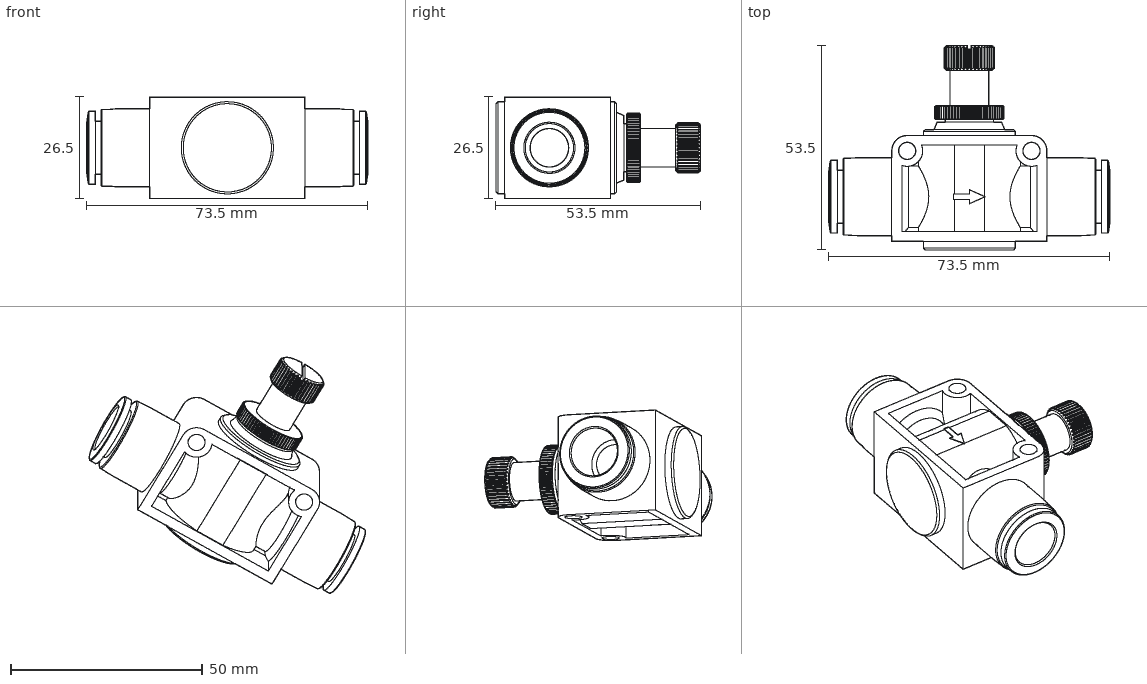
import cadquery as cq
import math


BODY_LENGTH = 40.6
BODY_HEIGHT = 26.5
BODY_FRONT = -11.7
BODY_BACK = 16.0
BODY_CORNER_RADIUS = 4.05
WALL = 2.65
BACK_WALL = 2.5
MOUNT_HOLE_RADIUS = 2.2
MOUNT_X = BODY_LENGTH / 2 - BODY_CORNER_RADIUS
MOUNT_Y = BODY_BACK - BODY_CORNER_RADIUS

WEB_THICKNESS = 2.65
POCKET_LENGTH = BODY_LENGTH - 2 * WALL
POCKET_FRONT = BODY_FRONT + WALL
POCKET_BACK = BODY_BACK - BACK_WALL
CORE_RADIUS = 13.4
CORE_FLAT_HEIGHT = 12.8
DUCT_RADIUS = 8.15
DUCT_FLARE_RADIUS = 10.2
DUCT_FLARE_LENGTH = 1.7

ARROW_TAIL_LENGTH = 4.2
ARROW_TAIL_WIDTH = 1.5
ARROW_HEAD_LENGTH = 4.1
ARROW_HEAD_WIDTH = 3.7
ARROW_RELIEF = 0.15

PORT_END = 36.75
BARREL_RADIUS = 10.2
BARREL_TIP_RADIUS = 10.1
BARREL_TAPER_START = 29.2
BARREL_TAPER_END = 31.9
BARREL_END = 33.1
BARREL_CHAMFER = 0.3
NECK_RADIUS = 7.0
FLANGE_START = 34.5
FLANGE_RADIUS = 9.55
FLANGE_RIM_RADIUS = 9.25
FLANGE_MOUTH_RADIUS = 6.7
FLANGE_EDGE = 36.15
FLANGE_RIM = 36.4
TUBE_SOCKET_RADIUS = 6.3
TUBE_SOCKET_DEPTH = 18.4
BORE_RADIUS = 5.0

CAP_RADIUS = 12.05
CAP_EDGE = 0.5
CAP_FRONT = -14.0
BONNET_TOP = 17.6
CONE_BASE_RADIUS = 9.25
CONE_TOP_RADIUS = 8.45
CONE_TOP = 19.5
SPINDLE_COLLAR_RADIUS = 6.3

NUT_START = 20.15
NUT_END = 23.8
NUT_RADIUS = 9.05
NUT_TEETH = 60
NUT_CHAMFER = 0.3
SPINDLE_RADIUS = 5.1
KNOB_START = 33.0
KNOB_END = 39.55
KNOB_RADIUS = 6.6
KNOB_TEETH = 40
KNOB_CHAMFER = 0.65
KNURL_DEPTH = 0.4
KNURL_LAND = 0.25
SLOT_WIDTH = 0.95
SLOT_DEPTH = 0.9


def cylinder_y(radius, start, end):
    """Cylinder on the Y axis between two Y positions."""
    return cq.Workplane("XZ", origin=(0, start, 0)).circle(radius).extrude(start - end)


def revolve_x(profile):
    """Solid of revolution about the X axis from (x, radius) points."""
    return cq.Workplane("XY").polyline(profile).close().revolve(360, (0, 0, 0), (1, 0, 0))


def body_block():
    depth = BODY_BACK - BODY_FRONT
    center_y = (BODY_BACK + BODY_FRONT) / 2
    return (
        cq.Workplane("XY")
        .center(0, center_y)
        .box(BODY_LENGTH, depth, BODY_HEIGHT)
        .edges("|Z and >Y")
        .fillet(BODY_CORNER_RADIUS)
    )


def mount_cylinders(radius):
    return (
        cq.Workplane("XY", origin=(0, 0, -BODY_HEIGHT / 2))
        .pushPoints([(-MOUNT_X, MOUNT_Y), (MOUNT_X, MOUNT_Y)])
        .circle(radius)
        .extrude(BODY_HEIGHT)
    )


def core():
    """Valve barrel inside the body, flattened above and below."""
    barrel = cylinder_y(CORE_RADIUS, POCKET_FRONT, POCKET_BACK)
    flats = cq.Workplane("XY").box(BODY_LENGTH, 2 * BODY_BACK, 2 * CORE_FLAT_HEIGHT)
    return barrel.intersect(flats)


def ducts():
    """Passages from the core to the end walls, flared where they meet the walls."""
    wall_x = POCKET_LENGTH / 2
    profile = [
        (0, 0),
        (0, DUCT_RADIUS),
        (wall_x - DUCT_FLARE_LENGTH, DUCT_RADIUS),
        (wall_x, DUCT_FLARE_RADIUS),
        (wall_x, 0),
    ]
    duct = revolve_x(profile)
    return duct.union(duct.mirror("YZ"))


def pockets():
    """Space removed from the body above and below the web."""
    depth = POCKET_BACK - POCKET_FRONT
    center_y = (POCKET_BACK + POCKET_FRONT) / 2
    cavity = cq.Workplane("XY").center(0, center_y).box(POCKET_LENGTH, depth, BODY_HEIGHT)
    web = cq.Workplane("XY").center(0, center_y).box(POCKET_LENGTH, depth, WEB_THICKNESS)
    bosses = mount_cylinders(BODY_CORNER_RADIUS)
    return cavity.cut(web).cut(bosses).cut(core()).cut(ducts())


def flow_arrow():
    """Raised arrow pointing along +X on the upper flat of the core."""
    outline = [
        (-ARROW_TAIL_LENGTH, -ARROW_TAIL_WIDTH / 2),
        (0, -ARROW_TAIL_WIDTH / 2),
        (0, -ARROW_HEAD_WIDTH / 2),
        (ARROW_HEAD_LENGTH, 0),
        (0, ARROW_HEAD_WIDTH / 2),
        (0, ARROW_TAIL_WIDTH / 2),
        (-ARROW_TAIL_LENGTH, ARROW_TAIL_WIDTH / 2),
    ]
    top = CORE_FLAT_HEIGHT + ARROW_RELIEF
    return cq.Workplane("XY", origin=(0, 0, top)).polyline(outline).close().extrude(-2 * ARROW_RELIEF)


def port():
    """Barrel and release collar of the +X port."""
    body_end = BODY_LENGTH / 2
    profile = [
        (body_end, 0),
        (body_end, BARREL_RADIUS),
        (BARREL_TAPER_START, BARREL_RADIUS),
        (BARREL_TAPER_END, BARREL_TIP_RADIUS),
        (BARREL_END - BARREL_CHAMFER, BARREL_TIP_RADIUS),
        (BARREL_END, BARREL_TIP_RADIUS - BARREL_CHAMFER),
        (BARREL_END, NECK_RADIUS),
        (FLANGE_START, NECK_RADIUS),
        (FLANGE_START, FLANGE_RADIUS),
        (FLANGE_EDGE, FLANGE_RADIUS),
        (FLANGE_RIM, FLANGE_RIM_RADIUS),
        (PORT_END, FLANGE_MOUTH_RADIUS),
        (PORT_END, 0),
    ]
    return revolve_x(profile)


def tube_socket():
    """Socket of the +X port with a chamfered mouth."""
    mouth_depth = FLANGE_MOUTH_RADIUS - TUBE_SOCKET_RADIUS
    profile = [
        (PORT_END - TUBE_SOCKET_DEPTH, 0),
        (PORT_END - TUBE_SOCKET_DEPTH, TUBE_SOCKET_RADIUS),
        (PORT_END - mouth_depth, TUBE_SOCKET_RADIUS),
        (PORT_END, FLANGE_MOUTH_RADIUS),
        (PORT_END, 0),
    ]
    return revolve_x(profile)


def knurled_wheel(radius, start, end, teeth, chamfer):
    """Wheel on the Y axis with trapezoidal teeth and chamfered rims."""
    pitch = 2 * math.pi / teeth
    root = radius - KNURL_DEPTH
    half_land = KNURL_LAND / 2
    tooth = [(radius, -half_land), (radius, half_land), (root, 0.5 - half_land), (root, 0.5 + half_land)]
    outline = []
    for index in range(teeth):
        for reach, share in tooth:
            angle = pitch * (index + share)
            outline.append((reach * math.cos(angle), reach * math.sin(angle)))
    star = cq.Workplane("XZ", origin=(0, start, 0)).polyline(outline).close().extrude(start - end)
    envelope = cylinder_y(radius, start, end).faces("<Y or >Y").chamfer(chamfer)
    return star.intersect(envelope)


def bonnet_and_spindle():
    """Front cap, back bonnet and the smooth lengths of the spindle."""
    cap = cylinder_y(CAP_RADIUS, CAP_FRONT, BODY_FRONT).faces("<Y").chamfer(CAP_EDGE)
    bonnet = cylinder_y(CAP_RADIUS, BODY_BACK, BONNET_TOP).faces(">Y").chamfer(CAP_EDGE)
    cone_profile = [
        (0, BONNET_TOP),
        (CONE_BASE_RADIUS, BONNET_TOP),
        (CONE_TOP_RADIUS, CONE_TOP),
        (0, CONE_TOP),
    ]
    cone = cq.Workplane("XY").polyline(cone_profile).close().revolve(360, (0, 0, 0), (0, 1, 0))
    collar = cylinder_y(SPINDLE_COLLAR_RADIUS, CONE_TOP, NUT_START)
    spindle = cylinder_y(SPINDLE_RADIUS, NUT_END, KNOB_START)
    return cap.union(bonnet).union(cone).union(collar).union(spindle)


def knob():
    """Knurled adjusting knob with a screwdriver slot across its end."""
    wheel = knurled_wheel(KNOB_RADIUS, KNOB_START, KNOB_END, KNOB_TEETH, KNOB_CHAMFER)
    slot = (
        cq.Workplane("XY")
        .center(0, KNOB_END - SLOT_DEPTH / 2)
        .box(SLOT_WIDTH, SLOT_DEPTH, 2 * KNOB_RADIUS)
    )
    return wheel.cut(slot)


lock_nut = knurled_wheel(NUT_RADIUS, NUT_START, NUT_END, NUT_TEETH, NUT_CHAMFER)
through_bore = cq.Workplane("YZ").circle(BORE_RADIUS).extrude(PORT_END, both=True)

result = (
    body_block()
    .cut(pockets())
    .cut(mount_cylinders(MOUNT_HOLE_RADIUS))
    .union(flow_arrow())
    .union(port())
    .union(port().mirror("YZ"))
    .union(bonnet_and_spindle())
    .union(lock_nut)
    .union(knob())
    .cut(tube_socket())
    .cut(tube_socket().mirror("YZ"))
    .cut(through_bore)
)